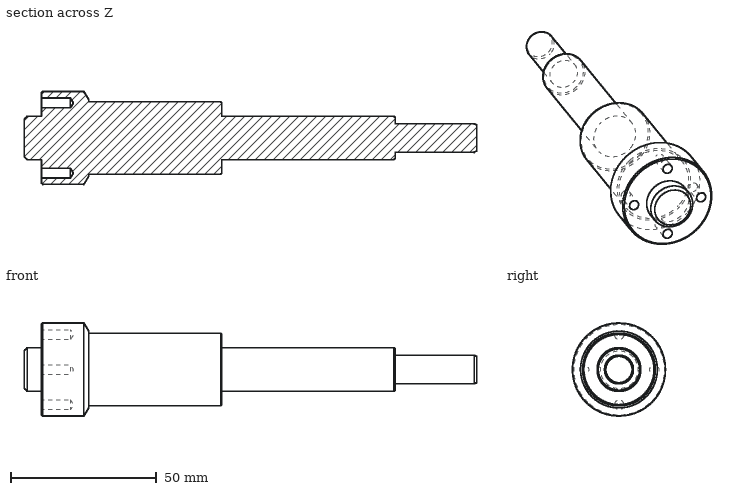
import cadquery as cq
import math

flange_front = 5.9
flange_back = 22.2
sleeve_end = 67.8
shaft_end = 127.3
total_length = 155.2

shaft_diameter = 15.0
flange_diameter = 32.0
sleeve_diameter = 25.0
tip_diameter = 10.0

no_chamfer = (0, 0)
small_chamfer = (0.5, 0.5)
nose_chamfer = (1.1, 1.1)
flange_back_chamfer = (1.7, 2.8)
tip_chamfer = (1.0, 0.5)

hole_count = 4
hole_diameter = 3.3
hole_circle_diameter = 24.0
hole_depth = 10.0
drill_point_angle = 118.0


def revolve_about_x(corners):
    """Solid of revolution about the X axis from (x, radius) corners."""
    return cq.Workplane("XY").polyline(corners).close().revolve(360, (0, 0), (1, 0))


def chamfered_cylinder(start, end, diameter, front=no_chamfer, back=no_chamfer):
    """Cylinder on the X axis with an optional chamfer at each end."""
    radius = diameter / 2
    front_length, front_depth = front
    back_length, back_depth = back
    corners = [(start, 0), (start, radius - front_depth)]
    if front != no_chamfer:
        corners.append((start + front_length, radius))
    if back != no_chamfer:
        corners.append((end - back_length, radius))
    corners += [(end, radius - back_depth), (end, 0)]
    return revolve_about_x(corners)


def drilled_hole(y, z):
    """Hole cutter with a conical drill point, entering the flange along +X."""
    radius = hole_diameter / 2
    point_length = radius / math.tan(math.radians(drill_point_angle / 2))
    corners = [(0, 0), (0, radius), (hole_depth, radius), (hole_depth + point_length, 0)]
    return revolve_about_x(corners).translate((flange_front, y, z))


shaft = chamfered_cylinder(0, shaft_end, shaft_diameter, front=nose_chamfer, back=small_chamfer)
flange = chamfered_cylinder(
    flange_front, flange_back, flange_diameter, front=small_chamfer, back=flange_back_chamfer
)
sleeve = chamfered_cylinder(flange_front, sleeve_end, sleeve_diameter, back=small_chamfer)
tip = chamfered_cylinder(flange_front, total_length, tip_diameter, back=tip_chamfer)
result = shaft.union(flange).union(sleeve).union(tip)

hole_circle_radius = hole_circle_diameter / 2
for i in range(hole_count):
    angle = 2 * math.pi * i / hole_count
    hole_y = hole_circle_radius * math.cos(angle)
    hole_z = hole_circle_radius * math.sin(angle)
    result = result.cut(drilled_hole(hole_y, hole_z))